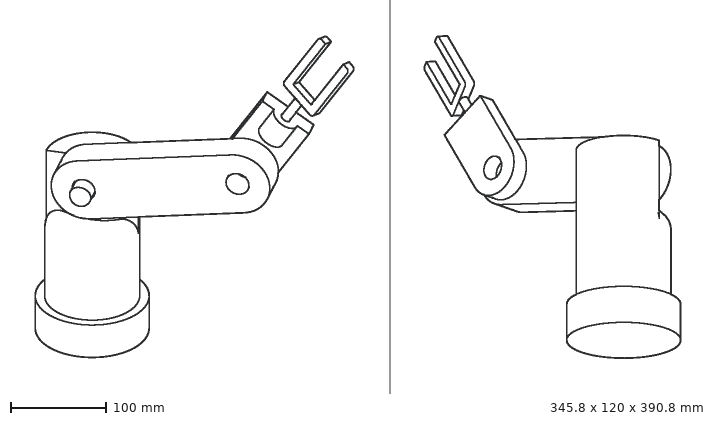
import cadquery as cq
import math

base_diameter = 120.0
base_height = 40.0
column_diameter = 100.0
column_radius = column_diameter / 2
column_top = 210.2
saddle_bottom = 133.0
saddle_radius = 90.0
saddle_fillet = 15.0

shoulder_height = 190.0
pin_diameter = 23.0
hole_diameter = 25.0

link_length = 170.7
link_angle = 11.3
link_radius = 35.0
link_thickness = 35.0

forearm_angle = 57.5
forearm_length = 80.0
forearm_width = 60.0
forearm_thickness = 19.5
boss_diameter = 30.0
boss_length = 30.0
socket_diameter = 11.0
socket_depth = boss_length

rod_diameter = 10.0
rod_exposed = 29.5
fork_twist = 24.0
fork_width = 49.0
fork_length = 75.0
fork_thickness = 11.0
prong_width = 9.8
fork_corner_radius = 4.0

elbow_x = link_length * math.cos(math.radians(link_angle))
elbow_z = shoulder_height + link_length * math.sin(math.radians(link_angle))


def cylinder_along_y(diameter, y_start, y_end):
    """Cylinder on the Y axis, between two Y positions."""
    return cq.Workplane("XZ", origin=(0, y_start, 0)).circle(diameter / 2).extrude(y_start - y_end)


def place_at_shoulder(body):
    """Tilt a body lying along +X to the link angle and move it to the shoulder."""
    return body.rotate((0, 0, 0), (0, 1, 0), -link_angle).translate((0, 0, shoulder_height))


def place_at_elbow(body):
    """Tilt a body lying along +X to the forearm angle and move it to the elbow."""
    return body.rotate((0, 0, 0), (0, 1, 0), -forearm_angle).translate((elbow_x, 0, elbow_z))


def make_base():
    return cq.Workplane("XY").circle(base_diameter / 2).extrude(base_height)


def make_column():
    """Round column with a half-height flat, a concave filleted ledge and a joint pin."""
    blank = cq.Workplane("XY").workplane(offset=base_height).circle(column_radius)
    blank = blank.extrude(column_top - base_height)

    saddle = cylinder_along_y(2 * saddle_radius, column_diameter, -column_diameter)
    saddle = saddle.translate((0, 0, saddle_bottom + saddle_radius))
    front_space = cq.Workplane("XY").box(
        2 * column_diameter, column_diameter, 2 * column_top, centered=(True, False, False)
    ).translate((0, -column_diameter, 0))
    rear_half = blank.cut(front_space)
    saddled_column = blank.cut(saddle).edges(">Z").fillet(saddle_fillet)
    front_half = saddled_column.intersect(front_space)

    pin = cylinder_along_y(pin_diameter, 0, -column_diameter).translate((0, 0, shoulder_height))
    return rear_half.union(front_half).union(pin.intersect(blank))


def make_link():
    link = (
        cq.Workplane("XZ")
        .center(link_length / 2, 0)
        .slot2D(link_length + 2 * link_radius, 2 * link_radius)
        .extrude(link_thickness)
    )
    shoulder_hole = cylinder_along_y(hole_diameter, 0, -link_thickness)
    elbow_hole = shoulder_hole.translate((link_length, 0, 0))
    return place_at_shoulder(link.cut(shoulder_hole).cut(elbow_hole))


def make_forearm():
    """Plate rounded about the elbow, with a boss at its square end for the gripper rod."""
    half_width = forearm_width / 2
    plate = (
        cq.Workplane("XZ")
        .moveTo(0, -half_width)
        .lineTo(forearm_length, -half_width)
        .lineTo(forearm_length, half_width)
        .lineTo(0, half_width)
        .threePointArc((-half_width, 0), (0, -half_width))
        .close()
        .extrude(-forearm_thickness)
    )
    end_plane = cq.Workplane("YZ", origin=(forearm_length, 0, 0))
    boss = end_plane.circle(boss_diameter / 2).extrude(-boss_length)
    socket = end_plane.circle(socket_diameter / 2).extrude(-socket_depth)
    elbow_hole = cylinder_along_y(hole_diameter, forearm_thickness, 0)
    return place_at_elbow(plate.union(boss).cut(socket).cut(elbow_hole))


def make_gripper():
    """Rod seated on the socket floor, and a fork twisted about the rod axis."""
    rod = cq.Workplane("YZ", origin=(forearm_length - socket_depth, 0, 0))
    rod = rod.circle(rod_diameter / 2).extrude(socket_depth + rod_exposed)

    fork = cq.Workplane("XY").box(fork_length, fork_thickness, fork_width, centered=(False, True, True))
    fork = fork.edges("|Y").fillet(fork_corner_radius)
    gap = cq.Workplane("XY").box(
        fork_length, fork_thickness, fork_width - 2 * prong_width, centered=(False, True, True)
    ).translate((prong_width, 0, 0))
    fork = fork.cut(gap).rotate((0, 0, 0), (1, 0, 0), -fork_twist)
    fork = fork.translate((forearm_length + rod_exposed, 0, 0))
    return place_at_elbow(rod.union(fork))


base = make_base()
column = make_column()
link = make_link()
forearm = make_forearm()
gripper = make_gripper()

result = cq.Compound.makeCompound([
    base.val(),
    column.val(),
    link.val(),
    forearm.val(),
    gripper.val(),
])